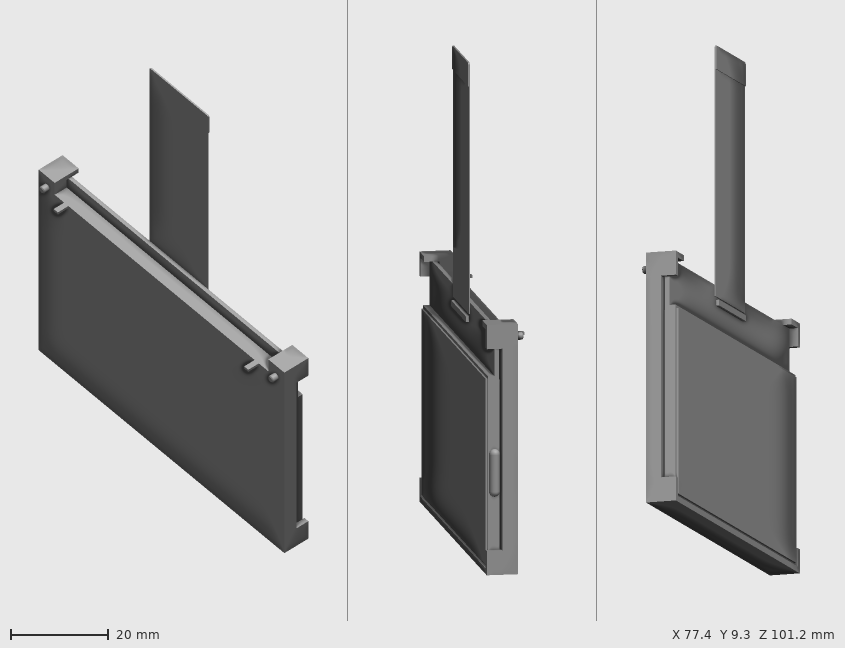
import cadquery as cq

TOTAL_HEIGHT = 101.2

HOUSING_WIDTH = 77.4
HOUSING_DEPTH = 6.5
HOUSING_HEIGHT = 52.3
PLATE_THICKNESS = 3.2
WALL = 1.2
POST_SIZE = 5.1
NOTCH_DEPTH = 3.4

PEG_DIAMETER = 1.6
PEG_LENGTH = 1.5
PEG_CHAMFER = 0.2
PEG_FROM_SIDE = 2.6
PEG_FROM_TOP = 3.0
PIN_WIDTH = 1.3
PIN_THICKNESS = 0.6
PIN_LENGTH = 2.8
PIN_FROM_SIDE = 8.7

FRONT_GLASS_Y = 3.7
FRONT_GLASS_THICKNESS = 0.9
REAR_GLASS_THICKNESS = 1.3
POLARISER_THICKNESS = 0.4
REAR_GLASS_FROM_TOP = 11.0
POLARISER_INSET = 0.6
FRONT_POLARISER_FROM_TOP = 11.9

CHIP_WIDTH = 16.9
CHIP_HEIGHT = 1.2
CHIP_THICKNESS = 0.7
CHIP_BOTTOM_FROM_TOP = 5.5

SEAL_RADIUS = 1.1
SEAL_LENGTH = 10.0
SEAL_CENTRE_FROM_TOP = 31.2

RIBBON_WIDTH = 18.4
RIBBON_THICKNESS = 0.2
RIBBON_OVERLAP = 2.4
RIBBON_CORNER_RADIUS = 0.4
STIFFENER_HEIGHT = 5.0
STIFFENER_THICKNESS = 0.15

PANEL_WIDTH = HOUSING_WIDTH - 2 * WALL
PANEL_BOTTOM = WALL
PANEL_TOP = HOUSING_HEIGHT - WALL
LEDGE_Y = FRONT_GLASS_Y + FRONT_GLASS_THICKNESS
REAR_GLASS_TOP = HOUSING_HEIGHT - REAR_GLASS_FROM_TOP
PLATE_TOP = HOUSING_HEIGHT - NOTCH_DEPTH
POCKET_DEPTH = HOUSING_DEPTH - PLATE_THICKNESS


def slab(width, y_front, thickness, z_bottom, z_top):
    """Box centred on X with the given front face and lower and upper edges."""
    box = cq.Workplane("XY").box(width, thickness, z_top - z_bottom, centered=(True, False, False))
    return box.translate((0, y_front, z_bottom))


def make_housing():
    body = slab(HOUSING_WIDTH, 0, HOUSING_DEPTH, 0, HOUSING_HEIGHT)
    pocket = slab(PANEL_WIDTH, PLATE_THICKNESS, POCKET_DEPTH, PANEL_BOTTOM, PANEL_TOP)
    side_windows = slab(HOUSING_WIDTH, PLATE_THICKNESS, POCKET_DEPTH, POST_SIZE, HOUSING_HEIGHT - POST_SIZE)
    top_notch = slab(HOUSING_WIDTH - 2 * POST_SIZE, 0, HOUSING_DEPTH, PLATE_TOP, HOUSING_HEIGHT)
    body = body.cut(pocket).cut(side_windows).cut(top_notch)

    for side in (-1, 1):
        peg_x = side * (HOUSING_WIDTH / 2 - PEG_FROM_SIDE)
        peg = (
            cq.Workplane("XZ")
            .center(peg_x, HOUSING_HEIGHT - PEG_FROM_TOP)
            .circle(PEG_DIAMETER / 2)
            .extrude(PEG_LENGTH)
            .faces("<Y").chamfer(PEG_CHAMFER)
        )
        pin_x = side * (HOUSING_WIDTH / 2 - PIN_FROM_SIDE)
        pin = slab(PIN_WIDTH, -PIN_LENGTH, PIN_LENGTH, PLATE_TOP - PIN_THICKNESS, PLATE_TOP)
        body = body.union(peg).union(pin.translate((pin_x, 0, 0)))
    return body


def make_seal_bead():
    straight = SEAL_LENGTH - 2 * SEAL_RADIUS
    centre = (-PANEL_WIDTH / 2, LEDGE_Y, HOUSING_HEIGHT - SEAL_CENTRE_FROM_TOP)
    bead = cq.Workplane("XY").circle(SEAL_RADIUS).extrude(straight / 2, both=True)
    for end in (-1, 1):
        bead = bead.union(cq.Workplane("XY").sphere(SEAL_RADIUS).translate((0, 0, end * straight / 2)))
    return bead.translate(centre)


def make_panel():
    front_glass = slab(PANEL_WIDTH, FRONT_GLASS_Y, FRONT_GLASS_THICKNESS, PANEL_BOTTOM, PANEL_TOP)
    rear_glass = slab(PANEL_WIDTH, LEDGE_Y, REAR_GLASS_THICKNESS, PANEL_BOTTOM, REAR_GLASS_TOP)
    polariser_width = PANEL_WIDTH - 2 * POLARISER_INSET
    polariser_bottom = PANEL_BOTTOM + POLARISER_INSET
    front_polariser = slab(
        polariser_width,
        FRONT_GLASS_Y - POLARISER_THICKNESS,
        POLARISER_THICKNESS,
        polariser_bottom,
        HOUSING_HEIGHT - FRONT_POLARISER_FROM_TOP,
    )
    rear_polariser = slab(
        polariser_width,
        LEDGE_Y + REAR_GLASS_THICKNESS,
        POLARISER_THICKNESS,
        polariser_bottom,
        REAR_GLASS_TOP - POLARISER_INSET,
    )
    chip_bottom = HOUSING_HEIGHT - CHIP_BOTTOM_FROM_TOP
    chip = slab(CHIP_WIDTH, LEDGE_Y, CHIP_THICKNESS, chip_bottom, chip_bottom + CHIP_HEIGHT)
    panel = front_glass.union(rear_glass).union(front_polariser).union(rear_polariser)
    return panel.union(chip).union(make_seal_bead())


def make_ribbon():
    strip = slab(RIBBON_WIDTH, LEDGE_Y, RIBBON_THICKNESS, PANEL_TOP - RIBBON_OVERLAP, TOTAL_HEIGHT)
    stiffener = slab(
        RIBBON_WIDTH,
        LEDGE_Y + RIBBON_THICKNESS,
        STIFFENER_THICKNESS,
        TOTAL_HEIGHT - STIFFENER_HEIGHT,
        TOTAL_HEIGHT,
    )
    top_corners = cq.selectors.BoxSelector(
        (-RIBBON_WIDTH, 0, TOTAL_HEIGHT - RIBBON_CORNER_RADIUS),
        (RIBBON_WIDTH, HOUSING_DEPTH, TOTAL_HEIGHT + RIBBON_CORNER_RADIUS),
    )
    return strip.union(stiffener).edges("|Y").edges(top_corners).fillet(RIBBON_CORNER_RADIUS)


housing = make_housing()
panel = make_panel()
ribbon = make_ribbon()

result = cq.Compound.makeCompound([housing.val(), panel.val(), ribbon.val()])